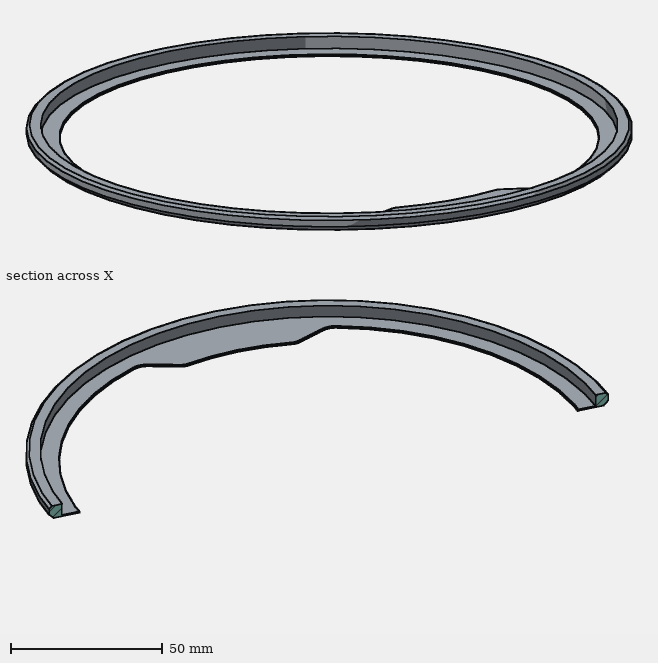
import cadquery as cq
import math

outer_diameter = 200.0
rim_band_height = 2.2
top_bevel = 1.0
bottom_bevel = 1.68
ring_height = bottom_bevel + rim_band_height + top_bevel

recess_diameter = 190.5
flange_thickness = 0.7

bore_radius = 89.0
bore_rim_bevel = 0.2

tab_inner_radius = 79.0
tab_tip_half_angle = 14.5
tab_root_half_angle = 22.2
tab_tip_fillet = 4.0
tab_root_fillet = 6.0


def polar(radius, angle_degrees):
    """Point at a given radius and angle from +X, in the plane of the ring."""
    angle = math.radians(angle_degrees)
    return (radius * math.cos(angle), radius * math.sin(angle))


def bevelled_disc():
    """Full disc with a bevel around its top edge and its bottom edge."""
    disc = cq.Workplane("XY").circle(outer_diameter / 2).extrude(ring_height)
    disc = disc.faces(">Z").chamfer(top_bevel)
    return disc.faces("<Z").chamfer(bottom_bevel)


def recess():
    """Round pocket above the flange, open at the top."""
    floor = cq.Workplane("XY").workplane(offset=flange_thickness)
    return floor.circle(recess_diameter / 2).extrude(ring_height - flange_thickness)


def bore():
    """Opening through the flange: a circle that steps inward around the tab."""
    tip_upper = polar(tab_inner_radius, tab_tip_half_angle)
    tip_lower = polar(tab_inner_radius, -tab_tip_half_angle)
    root_upper = polar(bore_radius, tab_root_half_angle)
    root_lower = polar(bore_radius, -tab_root_half_angle)
    opening = (
        cq.Workplane("XY")
        .moveTo(*root_upper)
        .threePointArc((-bore_radius, 0), root_lower)
        .lineTo(*tip_lower)
        .threePointArc((tab_inner_radius, 0), tip_upper)
        .close()
        .extrude(flange_thickness)
    )
    rounded_corners = (
        (root_upper, tab_root_fillet),
        (root_lower, tab_root_fillet),
        (tip_upper, tab_tip_fillet),
        (tip_lower, tab_tip_fillet),
    )
    for corner, radius in rounded_corners:
        nearest = cq.selectors.NearestToPointSelector((*corner, flange_thickness / 2))
        opening = opening.edges("|Z").edges(nearest).fillet(radius)
    return opening


def bevel_bore_rim(ring):
    """Break the upper edge of the opening, all the way round including the tab."""
    reach = (bore_radius + recess_diameter / 2) / 2
    rim = cq.selectors.BoxSelector(
        (-reach, -reach, flange_thickness / 2),
        (reach, reach, flange_thickness * 3 / 2),
        boundingbox=True,
    )
    return ring.edges(rim).chamfer(bore_rim_bevel)


result = bevel_bore_rim(bevelled_disc().cut(recess()).cut(bore()))